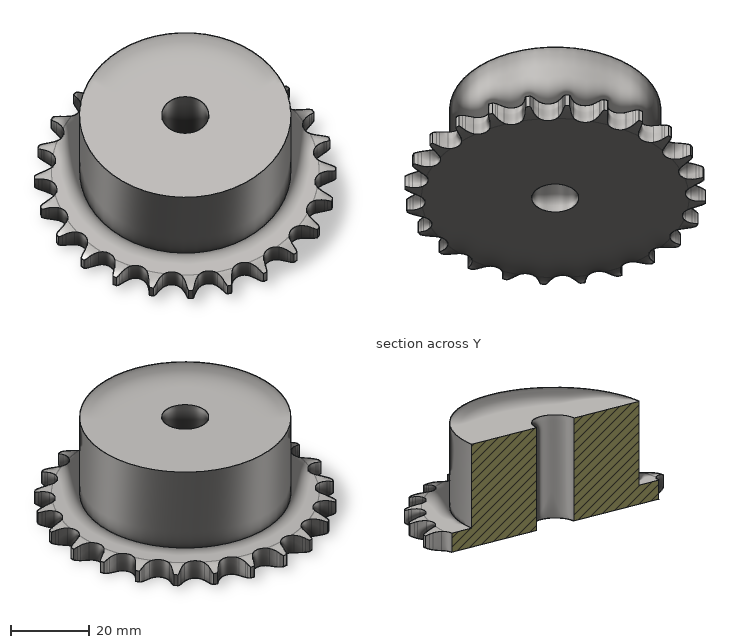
import cadquery as cq
import math

tooth_count = 24
pitch_diameter = 73.0
outer_diameter = 77.0
roller_diameter = 6.35
seat_clearance = 0.1
plate_thickness = 5.3
total_height = 28.0
hub_diameter = 54.0
bore_diameter = 12.0
side_radius = 10.0
side_relief = 1.0

pitch_radius = pitch_diameter / 2
outer_radius = outer_diameter / 2

seat_fit = 1.005
working_center_ratio = 0.8
topping_center_ratio = 1.4
seat_radius = (seat_fit * roller_diameter + seat_clearance) / 2
working_offset = working_center_ratio * roller_diameter
working_radius = seat_radius + working_offset
topping_offset = topping_center_ratio * roller_diameter

seat_angle = 35 + 60 / tooth_count
working_angle = 18 - 56 / tooth_count
straight_angle = 17 - 64 / tooth_count
flank_angle = seat_angle - working_angle
topping_end_angle = 60


def cosine(degrees):
    return math.cos(math.radians(degrees))


def sine(degrees):
    return math.sin(math.radians(degrees))


straight_length = topping_offset * sine(straight_angle) - working_offset * sine(working_angle)
topping_radius = (
    working_offset * cosine(working_angle) + topping_offset * cosine(straight_angle) - working_radius
)


def on_circle(center, radius, degrees):
    """Point on a circle, with the angle measured from +X."""
    return (center[0] + radius * cosine(degrees), center[1] + radius * sine(degrees))


def mirrored(point):
    return (-point[0], point[1])


def make_plate():
    """Round plate whose rim curves in towards the tooth tips on both sides."""
    curve_depth = math.sqrt(side_radius**2 - (side_radius - side_relief) ** 2)
    curve_start = outer_radius - curve_depth
    middle_angle = math.acos(1 - side_relief / side_radius) / 2
    middle_radius = curve_start + side_radius * math.sin(middle_angle)
    middle_drop = side_radius * (1 - math.cos(middle_angle))
    return (
        cq.Workplane("XZ")
        .moveTo(0, 0)
        .lineTo(curve_start, 0)
        .threePointArc((middle_radius, middle_drop), (outer_radius, side_relief))
        .lineTo(outer_radius, plate_thickness - side_relief)
        .threePointArc((middle_radius, plate_thickness - middle_drop), (curve_start, plate_thickness))
        .lineTo(0, plate_thickness)
        .close()
        .revolve(360, (0, 0), (0, 1))
    )


def make_tooth_gap():
    """Cutter for the gap between two teeth, centred on +Y."""
    roller_center = (0, pitch_radius)
    working_center = on_circle(roller_center, working_offset, 180 - seat_angle)
    seat_bottom = on_circle(roller_center, seat_radius, -90)
    seat_end = on_circle(roller_center, seat_radius, -seat_angle)
    working_middle = on_circle(working_center, working_radius, -(seat_angle + flank_angle) / 2)
    working_end = on_circle(working_center, working_radius, -flank_angle)
    straight_end = on_circle(working_end, straight_length, 90 - flank_angle)
    topping_center = on_circle(straight_end, topping_radius, -flank_angle)
    topping_middle = on_circle(topping_center, topping_radius, 180 - (flank_angle + topping_end_angle) / 2)
    topping_end = on_circle(topping_center, topping_radius, 180 - topping_end_angle)
    return (
        cq.Workplane("XY")
        .moveTo(*mirrored(seat_end))
        .threePointArc(seat_bottom, seat_end)
        .threePointArc(working_middle, working_end)
        .lineTo(*straight_end)
        .threePointArc(topping_middle, topping_end)
        .lineTo(*mirrored(topping_end))
        .threePointArc(mirrored(topping_middle), mirrored(straight_end))
        .lineTo(*mirrored(working_end))
        .threePointArc(mirrored(working_middle), mirrored(seat_end))
        .close()
        .extrude(plate_thickness)
    )


sprocket = make_plate()
tooth_gap = make_tooth_gap()
for index in range(tooth_count):
    sprocket = sprocket.cut(tooth_gap.rotate((0, 0, 0), (0, 0, 1), index * 360 / tooth_count))

hub = cq.Workplane("XY").circle(hub_diameter / 2).extrude(total_height)
sprocket = sprocket.union(hub)

bore = cq.Workplane("XY").circle(bore_diameter / 2).extrude(total_height)
result = sprocket.cut(bore)